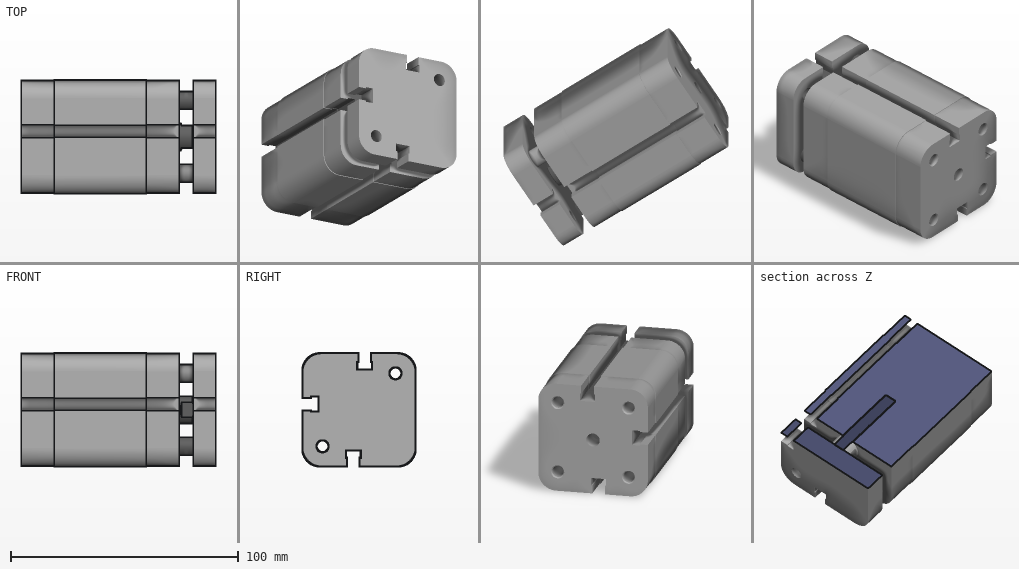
import cadquery as cq
rear_cap_length = 14.5
barrel_length = 40.5
front_cap_length = 14.5
plate_gap = 6.0
plate_thickness = 10.0
barrel_start = rear_cap_length
front_cap_start = barrel_start + barrel_length
housing_length = front_cap_start + front_cap_length
plate_start = housing_length + plate_gap
overall_length = plate_start + plate_thickness

barrel_width = 50.0
corner_radius = 8.0
cap_inset = 0.25
plate_corner_radius = corner_radius - cap_inset

slot_offset = 2.5
slot_mouth_width = 5.2
slot_pocket_width = 6.3
slot_depth = 7.1
slot_pocket_height = 3.0
slot_turns = [0, 90, 180]

half_spacing = 32.0 / 2
thread_hole_diameter = 5.0
thread_chamfer = 0.5
blind_hole_depth = 20.0
plate_hole_diameter = 5.5
centre_hole_diameter = 6.0
centre_hole_depth = 10.0
through_hole_places = [(half_spacing, half_spacing), (-half_spacing, -half_spacing)]
guide_rod_places = [(-half_spacing, half_spacing), (half_spacing, -half_spacing)]

guide_rod_diameter = 8.0
guide_rod_start = 30.0
piston_rod_diameter = 12.0
piston_rod_start = 40.0
piston_rod_chamfer = 0.3
flat_width = 10.0
flat_start = housing_length + 1.0
flat_ramp_start = housing_length + 0.5


def cylinder(diameter, start, end, place=(0, 0)):
    """Round bar along X centred on the given (Y, Z) place."""
    profile = cq.Workplane("YZ", origin=(start, 0, 0)).center(*place).circle(diameter / 2)
    return profile.extrude(end - start)


def slot_cutter(start, length, clearance):
    """Slot in the +Z side, its walls moved outwards by the clearance."""
    floor = barrel_width / 2 - slot_depth - clearance
    pocket_width = slot_pocket_width + 2 * clearance
    pocket_height = slot_pocket_height + 2 * clearance
    mouth_width = slot_mouth_width + 2 * clearance
    mouth_height = 2 * slot_depth
    pocket = (
        cq.Workplane("YZ", origin=(start, 0, 0))
        .center(slot_offset, floor + pocket_height / 2)
        .rect(pocket_width, pocket_height)
        .extrude(length)
    )
    mouth = (
        cq.Workplane("YZ", origin=(start, 0, 0))
        .center(slot_offset, floor + mouth_height / 2)
        .rect(mouth_width, mouth_height)
        .extrude(length)
    )
    return pocket.union(mouth)


def slotted_block(start, length, inset, radius):
    """Rounded square bar along X with the sensor slots cut in three sides."""
    width = barrel_width - 2 * inset
    block = (
        cq.Workplane("YZ", origin=(start, 0, 0))
        .rect(width, width)
        .extrude(length)
        .edges("|X")
        .fillet(radius)
    )
    for turn in slot_turns:
        cutter = slot_cutter(start, length, inset)
        block = block.cut(cutter.rotate((0, 0, 0), (1, 0, 0), turn))
    return block


def thread_hole(depth, place):
    """Hole from the rear face with a chamfered mouth."""
    mouth = (
        cq.Workplane("YZ")
        .center(*place)
        .circle(thread_hole_diameter / 2 + thread_chamfer)
        .workplane(offset=thread_chamfer)
        .circle(thread_hole_diameter / 2)
        .loft()
    )
    return cylinder(thread_hole_diameter, 0, depth, place).union(mouth)


def make_guide_rod(place):
    """Plain rod that ends against the plate."""
    return cylinder(guide_rod_diameter, guide_rod_start, plate_start, place)


def make_piston_rod():
    """Centre rod with a chamfered end and two ramped wrench flats."""
    rod = cylinder(piston_rod_diameter, piston_rod_start, plate_start)
    rod = rod.faces(">X").chamfer(piston_rod_chamfer)
    radius = piston_rod_diameter / 2
    for side in (-1, 1):
        flat_cutter = (
            cq.Workplane("XY")
            .moveTo(plate_start, side * flat_width / 2)
            .lineTo(flat_start, side * flat_width / 2)
            .lineTo(flat_ramp_start, side * radius)
            .lineTo(flat_ramp_start, side * piston_rod_diameter)
            .lineTo(plate_start, side * piston_rod_diameter)
            .close()
            .extrude(piston_rod_diameter, both=True)
        )
        rod = rod.cut(flat_cutter)
    return rod


def make_housing():
    """Barrel between two slightly smaller caps, bored for the rods."""
    body = slotted_block(0, rear_cap_length, cap_inset, corner_radius)
    body = body.union(slotted_block(barrel_start, barrel_length, 0, corner_radius))
    body = body.union(slotted_block(front_cap_start, front_cap_length, cap_inset, corner_radius))
    for place in through_hole_places:
        body = body.cut(thread_hole(housing_length, place))
    for place in guide_rod_places:
        body = body.cut(thread_hole(blind_hole_depth, place))
        body = body.cut(cylinder(guide_rod_diameter, guide_rod_start, housing_length, place))
    body = body.cut(cylinder(centre_hole_diameter, 0, centre_hole_depth))
    return body.cut(cylinder(piston_rod_diameter, piston_rod_start, housing_length))


def make_plate():
    """Front plate with two holes in line with the through holes of the housing."""
    plate = slotted_block(plate_start, plate_thickness, cap_inset, plate_corner_radius)
    for place in through_hole_places:
        plate = plate.cut(cylinder(plate_hole_diameter, plate_start, overall_length, place))
    return plate


housing = make_housing()
plate = make_plate()
piston_rod = make_piston_rod()
guide_rods = [make_guide_rod(place) for place in guide_rod_places]

result = cq.Compound.makeCompound(
    [housing.val(), plate.val(), piston_rod.val(), *[rod.val() for rod in guide_rods]]
)